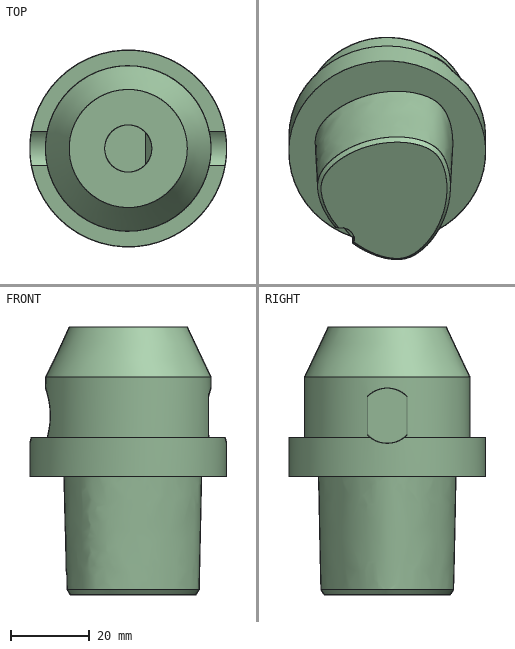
import cadquery as cq
import math

TOTAL_HEIGHT = 68.0
FLANGE_BOTTOM = 30.05
FLANGE_TOP = 40.0
CONE_BOTTOM = 55.3

FLANGE_DIAMETER = 50.0
BODY_DIAMETER = 42.0
NOSE_DIAMETER = 30.0

SHANK_TOP_RADIUS = 17.5
SHANK_END_RADIUS = 16.85
LOBE_HEIGHT = 1.15
SHANK_CHAMFER_HEIGHT = 1.35
SHANK_CHAMFER_WIDTH = 0.9
LOBE_CURVE_POINTS = 72

FLAT_DIAMETER = 14.0
FLAT_HEIGHT = 45.5
LEFT_FLAT_X = -18.5
RIGHT_FLAT_X = 20.4

BORE_DIAMETER = 12.0
BORE_FLOOR = FLANGE_BOTTOM
RAMP_START = 4.35
RAMP_ANGLE = 60.0

KEYWAY_DIAMETER = 6.5
KEYWAY_HEIGHT = 5.1
KEYWAY_CENTER_X = -16.45
DRILL_POINT_ANGLE = 100.0


def lobed_wire(mean_radius, height):
    """Constant-width three-lobed outline with one lobe pointing along +X."""
    def point(t):
        angle = 2 * math.pi * t
        x = (mean_radius * math.cos(angle) + 2 * LOBE_HEIGHT * math.cos(2 * angle)
             - LOBE_HEIGHT * math.cos(4 * angle))
        y = (mean_radius * math.sin(angle) - 2 * LOBE_HEIGHT * math.sin(2 * angle)
             - LOBE_HEIGHT * math.sin(4 * angle))
        return x, y, height

    points = [cq.Vector(*point(i / LOBE_CURVE_POINTS)) for i in range(LOBE_CURVE_POINTS)]
    return cq.Wire.assembleEdges([cq.Edge.makeSpline(points, periodic=True)])


def lobed_frustum(bottom_radius, bottom, top_radius, top):
    wires = [lobed_wire(bottom_radius, bottom), lobed_wire(top_radius, top)]
    return cq.Workplane(cq.Solid.makeLoft(wires, True))


def make_shank():
    chamfer = lobed_frustum(SHANK_END_RADIUS - SHANK_CHAMFER_WIDTH, 0,
                            SHANK_END_RADIUS, SHANK_CHAMFER_HEIGHT)
    taper = lobed_frustum(SHANK_END_RADIUS, SHANK_CHAMFER_HEIGHT,
                          SHANK_TOP_RADIUS, FLANGE_BOTTOM)
    return taper.union(chamfer)


def make_head():
    profile = [
        (0, FLANGE_BOTTOM),
        (FLANGE_DIAMETER / 2, FLANGE_BOTTOM),
        (FLANGE_DIAMETER / 2, FLANGE_TOP),
        (BODY_DIAMETER / 2, FLANGE_TOP),
        (BODY_DIAMETER / 2, CONE_BOTTOM),
        (NOSE_DIAMETER / 2, TOTAL_HEIGHT),
        (0, TOTAL_HEIGHT),
    ]
    return cq.Workplane("XZ").polyline(profile).close().revolve(360, (0, 0), (0, 1))


def make_side_flat(floor_x):
    """Cutter for a round flat, running outward from its floor."""
    outward_length = math.copysign(FLANGE_DIAMETER / 2, floor_x)
    return (cq.Workplane("YZ", origin=(floor_x, 0, FLAT_HEIGHT))
            .circle(FLAT_DIAMETER / 2).extrude(outward_length))


def make_bore():
    bore = (cq.Workplane("XY", origin=(0, 0, BORE_FLOOR))
            .circle(BORE_DIAMETER / 2).extrude(TOTAL_HEIGHT - BORE_FLOOR))
    ramp_length = BORE_DIAMETER / 2 - RAMP_START
    ramp_height = ramp_length * math.tan(math.radians(RAMP_ANGLE))
    ramp = (cq.Workplane("XZ", origin=(RAMP_START, 0, BORE_FLOOR))
            .polyline([(0, 0), (ramp_length, 0), (ramp_length, ramp_height)]).close()
            .extrude(BORE_DIAMETER / 2, both=True))
    return bore.cut(ramp)


def make_keyway():
    radius = KEYWAY_DIAMETER / 2
    point_height = radius / math.tan(math.radians(DRILL_POINT_ANGLE / 2))
    profile = [(0, 0), (radius, 0), (radius, KEYWAY_HEIGHT), (0, KEYWAY_HEIGHT + point_height)]
    drill = cq.Workplane("XZ").polyline(profile).close().revolve(360, (0, 0), (0, 1))
    return drill.translate((KEYWAY_CENTER_X, 0, 0))


result = make_head().union(make_shank())
for floor_x in (LEFT_FLAT_X, RIGHT_FLAT_X):
    result = result.cut(make_side_flat(floor_x))
result = result.cut(make_bore()).cut(make_keyway())